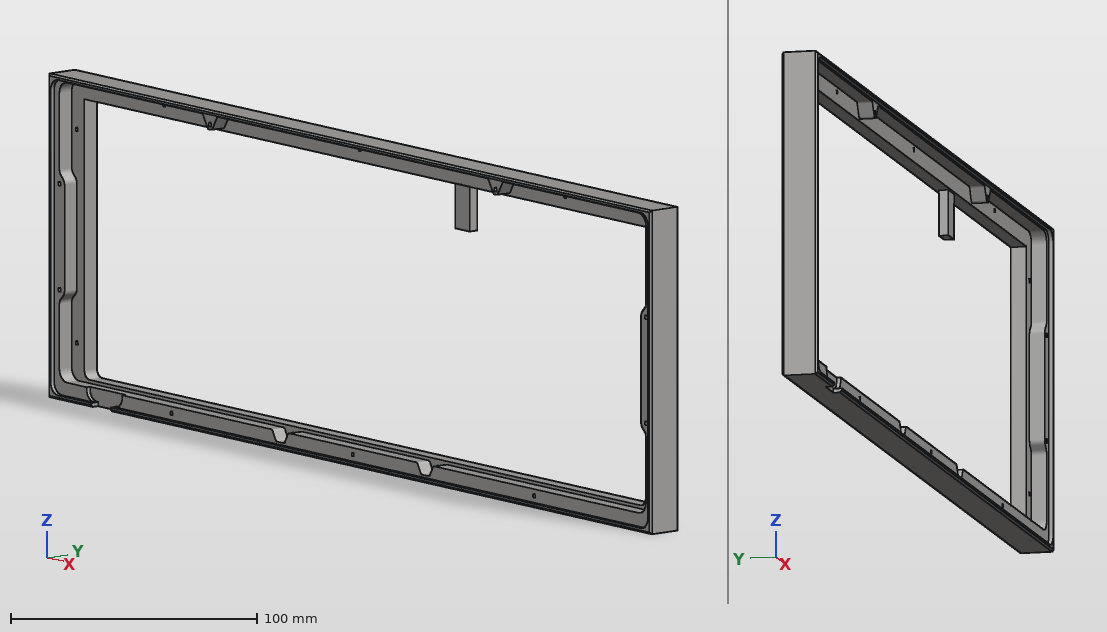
import cadquery as cq

LENGTH = 390.8
DEPTH = 14.8
HEIGHT = 133.8
EDGE_CHAMFER = 0.8

RIGHT = LENGTH / 2
LEFT = -RIGHT
TOP = HEIGHT / 2
BOTTOM = -TOP
FRONT = -DEPTH / 2
BACK = DEPTH / 2

LIP_WIDTH = 1.7
LIP_CORNER_RADIUS = 5.0
LEDGE_DEPTH = 1.8
LEDGE_Y = FRONT + LEDGE_DEPTH

POCKET_SIDE_MARGIN = 5.2
POCKET_TOP_MARGIN = 2.5
POCKET_BOTTOM_MARGIN = 7.3
POCKET_CORNER_RADIUS = 5.0
FLANGE_DEPTH = 8.2
FLANGE_Y = FRONT + FLANGE_DEPTH
POCKET_TOP = TOP - POCKET_TOP_MARGIN
POCKET_BOTTOM = BOTTOM + POCKET_BOTTOM_MARGIN

OPENING_SIDE_MARGIN = 13.4
OPENING_TOP_MARGIN = 9.6
OPENING_BOTTOM_MARGIN = 8.7
OPENING_LOWER_RADIUS = 3.5

STEP_WING_WIDTH = 3.0
STEP_WING_HEIGHT = 0.5

PAD_ROOT_WIDTH = 53.0
PAD_HEIGHT = 3.3
PAD_TIP_WIDTH = PAD_ROOT_WIDTH - 2 * PAD_HEIGHT
PAD_BEND_RADIUS = 3.0
PAD_HOLE_X = 190.2
PAD_HOLE_Z = 21.9
PAD_HOLE_DIAMETER = 1.7

BOSS_X = 92.6
BOSS_ROOT_WIDTH = 9.6
BOSS_TIP_WIDTH = 2.4
BOSS_HEIGHT = 6.0
BOSS_BEND_RADIUS = 1.2
BOSS_HOLE_DROP = 3.9
BOSS_HOLE_DIAMETER = 1.7

NOTCH_X = 47.0
NOTCH_ROOT_WIDTH = 10.4
NOTCH_TIP_WIDTH = 5.4
NOTCH_HEIGHT = 4.6
NOTCH_BEND_RADIUS = 1.5
NOTCH_HOLE_DROP = 2.0
NOTCH_HOLE_DIAMETER = 1.5

CUTOUT_X = -161.0
CUTOUT_WIDTH = 23.0
CUTOUT_MOUTH_WIDTH = 12.6
CUTOUT_CORNER_RADIUS = 4.5
CUTOUT_CORNER_FOOT = 1.8
CUTOUT_DEPTH = 3.5

TAB_LEFT = 57.2
TAB_WIDTH = 9.4
TAB_DROP = 28.4
TAB_THICKNESS = 4.0
TAB_SETBACK = 1.0

PIN_DIAMETER = 1.5
PIN_DEPTH = 4.0
TOP_PIN_XS = (-130.3, -3.5, 129.7)
TOP_PIN_Z = 62.4
SIDE_PIN_X = 187.0
SIDE_PIN_Z = 44.1
BOTTOM_PIN_XS = (-117.6, 0.0, 117.6)
BOTTOM_PIN_Z = -62.4


def plane_at(y):
    """Sketch plane at depth y with local axes X and Z; extruding goes towards the front."""
    return cq.Workplane("XZ", origin=(0, y, 0))


def block(left, right, bottom, top, front, back):
    """Box between the given faces."""
    return cq.Workplane("XY").box(right - left, back - front, top - bottom, centered=False).translate(
        (left, front, bottom)
    )


def holes(points, front, diameter):
    """Blind holes drilled from the given depth towards the back."""
    return plane_at(front).pushPoints(points).circle(diameter / 2).extrude(-PIN_DEPTH)


def make_shell():
    """Chamfered frame with lip recess, pocket and opening."""
    shell = block(LEFT, RIGHT, BOTTOM, TOP, FRONT, BACK)
    shell = shell.faces("<Y or >Y").edges().chamfer(EDGE_CHAMFER)

    recess = block(
        LEFT + LIP_WIDTH, RIGHT - LIP_WIDTH, BOTTOM + LIP_WIDTH, TOP - LIP_WIDTH, FRONT, LEDGE_Y
    )
    recess = recess.edges("|Y").fillet(LIP_CORNER_RADIUS)

    pocket = block(
        LEFT + POCKET_SIDE_MARGIN, RIGHT - POCKET_SIDE_MARGIN, POCKET_BOTTOM, POCKET_TOP, FRONT, FLANGE_Y
    )
    pocket = pocket.edges("|Y").fillet(POCKET_CORNER_RADIUS)

    opening = block(
        LEFT + OPENING_SIDE_MARGIN,
        RIGHT - OPENING_SIDE_MARGIN,
        BOTTOM + OPENING_BOTTOM_MARGIN,
        TOP - OPENING_TOP_MARGIN,
        FRONT,
        BACK,
    )
    opening = opening.edges("|Y").edges("<Z").fillet(OPENING_LOWER_RADIUS)
    return shell.cut(recess).cut(pocket).cut(opening)


def make_step(root_width, tip_width, height, bend_radius):
    """Step from the ledge depth to the flange depth, tapering downwards from its root at Z = 0.

    Thin wings above the root carry the rounded bends where the slopes leave the wall.
    """
    wing_x = root_width / 2 + STEP_WING_WIDTH
    outline = [
        (-wing_x, STEP_WING_HEIGHT),
        (-wing_x, 0),
        (-root_width / 2, 0),
        (-tip_width / 2, -height),
        (tip_width / 2, -height),
        (root_width / 2, 0),
        (wing_x, 0),
        (wing_x, STEP_WING_HEIGHT),
    ]
    step = plane_at(FLANGE_Y).polyline(outline).close().extrude(FLANGE_Y - LEDGE_Y)
    bends = step.edges("|Y").filter(lambda edge: abs(edge.Center().x) < wing_x - STEP_WING_WIDTH / 2)
    return bends.fillet(bend_radius)


def make_pad(side):
    """Widened ledge on a side wall; side is -1 for left, +1 for right."""
    pad = make_step(PAD_ROOT_WIDTH, PAD_TIP_WIDTH, PAD_HEIGHT, PAD_BEND_RADIUS)
    pad = pad.rotate((0, 0, 0), (0, 1, 0), side * 90)
    return pad.translate((side * (RIGHT - POCKET_SIDE_MARGIN), 0, 0))


def make_boss(x):
    """Lug on the upper wall, standing on the flange."""
    boss = make_step(BOSS_ROOT_WIDTH, BOSS_TIP_WIDTH, BOSS_HEIGHT, BOSS_BEND_RADIUS)
    return boss.translate((x, 0, POCKET_TOP))


def make_notch(x):
    """Recess in the lower ledge, open to the pocket and as deep as the flange."""
    notch = make_step(NOTCH_ROOT_WIDTH, NOTCH_TIP_WIDTH, NOTCH_HEIGHT, NOTCH_BEND_RADIUS)
    return notch.translate((x, 0, POCKET_BOTTOM))


def make_cutout():
    """Cable cut-out with rounded lower corners and a narrower mouth through the lower edge."""
    half = CUTOUT_WIDTH / 2
    mouth_half = CUTOUT_MOUTH_WIDTH / 2
    foot_z = BOTTOM + CUTOUT_CORNER_FOOT
    back = FRONT + CUTOUT_DEPTH
    upper = block(CUTOUT_X - half, CUTOUT_X + half, foot_z, POCKET_BOTTOM, FRONT, back)
    upper = upper.edges("|Y").edges("<Z").fillet(CUTOUT_CORNER_RADIUS)
    mouth = block(CUTOUT_X - mouth_half, CUTOUT_X + mouth_half, BOTTOM, POCKET_BOTTOM, FRONT, back)
    return upper.union(mouth)


def make_tab():
    """Flat tab hanging from the top flange, set back from the flange face."""
    front = FLANGE_Y + TAB_SETBACK
    return block(TAB_LEFT, TAB_LEFT + TAB_WIDTH, TOP - TAB_DROP, POCKET_TOP, front, front + TAB_THICKNESS)


frame = make_shell()

for side in (-1, 1):
    frame = frame.union(make_pad(side))
    frame = frame.union(make_boss(side * BOSS_X))
    frame = frame.cut(make_notch(side * NOTCH_X))

frame = frame.union(make_tab()).cut(make_cutout())

pad_holes = [(sx * PAD_HOLE_X, sz * PAD_HOLE_Z) for sx in (-1, 1) for sz in (-1, 1)]
boss_holes = [(sx * BOSS_X, POCKET_TOP - BOSS_HOLE_DROP) for sx in (-1, 1)]
notch_holes = [(sx * NOTCH_X, POCKET_BOTTOM - NOTCH_HOLE_DROP) for sx in (-1, 1)]
side_pins = [(sx * SIDE_PIN_X, sz * SIDE_PIN_Z) for sx in (-1, 1) for sz in (-1, 1)]
top_pins = [(x, TOP_PIN_Z) for x in TOP_PIN_XS]
bottom_pins = [(x, BOTTOM_PIN_Z) for x in BOTTOM_PIN_XS]

frame = frame.cut(holes(pad_holes, LEDGE_Y, PAD_HOLE_DIAMETER))
frame = frame.cut(holes(boss_holes, LEDGE_Y, BOSS_HOLE_DIAMETER))
frame = frame.cut(holes(notch_holes, FLANGE_Y, NOTCH_HOLE_DIAMETER))
frame = frame.cut(holes(side_pins + top_pins, FLANGE_Y, PIN_DIAMETER))
frame = frame.cut(holes(bottom_pins, LEDGE_Y, PIN_DIAMETER))

result = frame